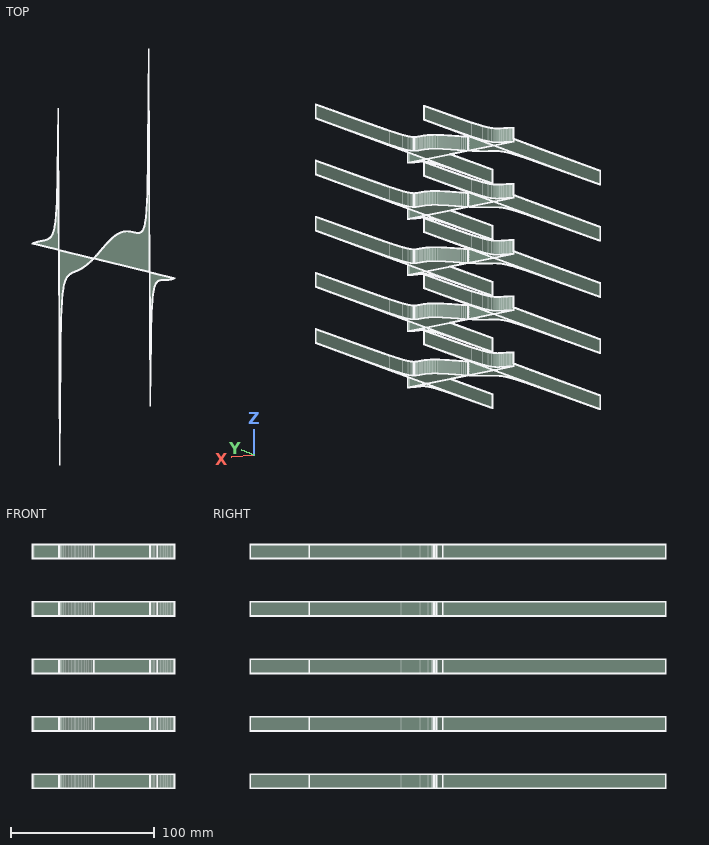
import cadquery as cq
import math

plate_count = 5
plate_thickness = 10.0
plate_pitch = 40.0

x_start = -50
x_end = 49
x_step = 1
tangent_height = 3.0
tangent_stretch = 20.0
sine_height = 10.0
sine_stretch = 10.0
cosine_height = 5.0
cosine_stretch = 15.0

neck_width = 0.04


def wavy_edge(x):
    """Y of the wavy edge; the tangent term makes the long spikes."""
    return (
        tangent_height * math.tan(x / tangent_stretch)
        + sine_height * math.sin(x / sine_stretch)
        + cosine_height * math.cos(x / cosine_stretch)
    )


straight_slope = (wavy_edge(x_end) - wavy_edge(x_start)) / (x_end - x_start)


def straight_edge(x):
    """Y of the straight edge that joins the two ends of the wavy edge."""
    return wavy_edge(x_start) + straight_slope * (x - x_start)


def height_over_straight_edge(point):
    x, y = point
    return y - straight_edge(x)


def crossing_point(before, after):
    """Point where the segment from before to after meets the straight edge."""
    height_before = height_over_straight_edge(before)
    height_after = height_over_straight_edge(after)
    fraction = height_before / (height_before - height_after)
    x = before[0] + fraction * (after[0] - before[0])
    return (x, straight_edge(x))


def split_into_lobes():
    """Outlines of the lobes between the two edges, and the points where the lobes meet."""
    samples = [(x, wavy_edge(x)) for x in range(x_start, x_end + x_step, x_step)]
    outline = [samples[0]]
    outlines = []
    crossings = []
    for before, after in zip(samples[:-1], samples[1:]):
        if height_over_straight_edge(before) * height_over_straight_edge(after) < 0:
            crossing = crossing_point(before, after)
            crossings.append(crossing)
            outlines.append(outline + [crossing])
            outline = [crossing]
        outline.append(after)
    outlines.append(outline)
    return outlines, crossings


def make_plate(bottom_z):
    """One plate: all lobes extruded and joined by the necks into a single solid."""
    outlines, crossings = split_into_lobes()
    base = cq.Workplane("XY").workplane(offset=bottom_z)
    plate = base.pushPoints(crossings).rect(neck_width, neck_width).extrude(plate_thickness)
    for outline in outlines:
        plate = plate.union(base.polyline(outline).close().extrude(plate_thickness))
    return plate


plates = [make_plate(index * plate_pitch) for index in range(plate_count)]

result = cq.Compound.makeCompound([plate.solids().val() for plate in plates])